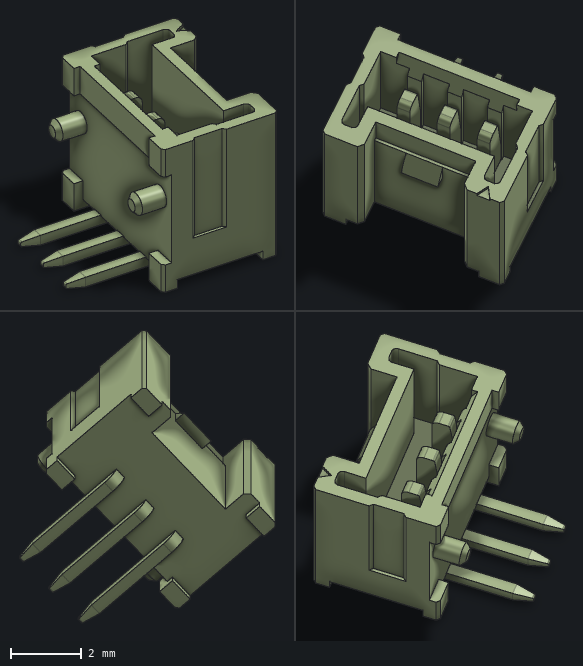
import cadquery as cq
import math


WIDTH = 5.65
HALF_WIDTH = WIDTH / 2
HEIGHT = 4.89
BACK_Y = 3.845
FRONT_WALL_Y = 0.3
BACK_WALL_Y = 2.995
WALL_SHIFT = 0.1
BAND_HEIGHT = 0.94
CORNER_CHAMFER = 0.1

ARM_GAP_HALF = 1.555
ARM_CHAMFER = 0.155

LUG_WIDTH = 0.755
UNDERSIDE_Z = 0.295
FRONT_FOOT_Y = 0.5
BACK_FOOT_DEPTH = 0.515

FLOOR_Z = 1.545
CAVITY_FRONT_Y = 0.755
CAVITY_BACK_Y = 2.535
CAVITY_HALF_FRONT = 2.36
CAVITY_HALF_BACK = 2.465
SIDE_STEP_Y = 1.905
ARM_SLOT_INNER = 1.975
ARM_SLOT_END_Y = 3.34
ARM_SLOT_RADIUS = 0.15

LEAD_HALF_WIDTH = 1.875
LEAD_TOP_Y = 0.565
SLOPE_ANGLE = 60

SIDE_RECESS_FRONT_Y = 1.015
SIDE_RECESS_BACK_Y = 2.13
SIDE_RECESS_DEPTH = 0.1

LATCH_HALF_WIDTH = 0.57
LATCH_REACH = 0.345

MARK_X = -2.22
MARK_HALF_WIDTH = 0.2
MARK_LENGTH = 0.35
MARK_DEPTH = 0.1

PEG_X = 2.195
PEG_Z = 2.88
PEG_DIAMETER = 0.7
PEG_END_Y = -0.65
PEG_CHAMFER = 0.155

PIN_COUNT = 3
PIN_PITCH = 1.25
POST_WIDTH = 0.4
POST_BACK_Y = 1.655
POST_FRONT_Y = 0.905
POST_TOP_Z = 3.97
POST_TAPER = 0.21
POST_TAPER_HEIGHT = 1.475
POST_BACK_RADIUS = 0.22
POST_FRONT_RADIUS = 0.055
BEND_BACK_Y = 1.55
BEND_RADIUS = 0.5
LEG_WIDTH = 0.35
LEG_HEIGHT = 0.34
LEG_TAPER_Y = -1.71
TIP_Y = -2.305
TIP_SIZE = 0.155
TIP_RADIUS = 0.05
RIB_WIDTH = 0.44
RIB_Y = 0.89

pin_positions = [(i - (PIN_COUNT - 1) / 2) * PIN_PITCH for i in range(PIN_COUNT)]


def box(x0, x1, y0, y1, z0, z1):
    """Axis-aligned box between two opposite corners."""
    return cq.Workplane("XY").box(x1 - x0, y1 - y0, z1 - z0, centered=False).translate((x0, y0, z0))


def side_profile(points, half_width):
    """Extrude a (Y, Z) outline symmetrically about X = 0."""
    return cq.Workplane("YZ").polyline(points).close().extrude(half_width, both=True)


def both_sides(solid):
    """The solid together with its mirror image across X = 0."""
    return solid.union(solid.mirror("YZ"))


def housing_block():
    """Outer block with chamfered corners, open rear gap, lugs and feet."""
    block = box(-HALF_WIDTH, HALF_WIDTH, 0, BACK_Y, 0, HEIGHT).edges("|Z").chamfer(CORNER_CHAMFER)

    gap = (
        cq.Workplane("XY")
        .moveTo(-ARM_GAP_HALF, BACK_WALL_Y)
        .lineTo(-ARM_GAP_HALF, BACK_Y - ARM_CHAMFER)
        .lineTo(-ARM_GAP_HALF - ARM_CHAMFER, BACK_Y)
        .lineTo(ARM_GAP_HALF + ARM_CHAMFER, BACK_Y)
        .lineTo(ARM_GAP_HALF, BACK_Y - ARM_CHAMFER)
        .lineTo(ARM_GAP_HALF, BACK_WALL_Y)
        .close()
        .extrude(HEIGHT)
    )
    band_z = HEIGHT - BAND_HEIGHT
    ledge = box(-ARM_GAP_HALF, ARM_GAP_HALF, BACK_WALL_Y - WALL_SHIFT, BACK_WALL_Y, band_z, HEIGHT)

    lug_inner = HALF_WIDTH - LUG_WIDTH
    between_lugs = box(-lug_inner, lug_inner, 0, FRONT_WALL_Y - WALL_SHIFT, 0, HEIGHT)
    below_band = box(-lug_inner, lug_inner, 0, FRONT_WALL_Y, 0, band_z)
    above_feet = box(-HALF_WIDTH, HALF_WIDTH, 0, FRONT_WALL_Y, BAND_HEIGHT, band_z)

    between_feet = box(-lug_inner, lug_inner, 0, BACK_Y, 0, UNDERSIDE_Z)
    under_sides = box(-HALF_WIDTH, HALF_WIDTH, FRONT_FOOT_Y, BACK_Y - BACK_FOOT_DEPTH, 0, UNDERSIDE_Z)

    for cut in (gap, ledge, between_lugs, below_band, above_feet, between_feet, under_sides):
        block = block.cut(cut)
    return block


def cavity():
    """Plug cavity with two rear slots reaching into the arms."""
    depth = HEIGHT - FLOOR_Z
    half = (
        cq.Workplane("XY", origin=(0, 0, FLOOR_Z))
        .moveTo(0, CAVITY_FRONT_Y)
        .lineTo(CAVITY_HALF_FRONT, CAVITY_FRONT_Y)
        .lineTo(CAVITY_HALF_FRONT, SIDE_STEP_Y)
        .lineTo(CAVITY_HALF_BACK, SIDE_STEP_Y + CAVITY_HALF_BACK - CAVITY_HALF_FRONT)
        .lineTo(CAVITY_HALF_BACK, ARM_SLOT_END_Y)
        .lineTo(ARM_SLOT_INNER, ARM_SLOT_END_Y)
        .lineTo(ARM_SLOT_INNER, CAVITY_BACK_Y)
        .lineTo(0, CAVITY_BACK_Y)
        .close()
        .extrude(depth)
        .edges("|Z and >Y")
        .fillet(ARM_SLOT_RADIUS)
    )
    return both_sides(half)


def pin_ribs():
    """Ribs on the front cavity wall, one in front of each contact."""
    ribs = cq.Workplane("XY")
    for x in pin_positions:
        ribs = ribs.union(box(x - RIB_WIDTH / 2, x + RIB_WIDTH / 2, CAVITY_FRONT_Y, RIB_Y, FLOOR_Z, HEIGHT))
    return ribs


def lead_in():
    """Sloped cut along the top of the front wall and its ribs."""
    drop = (RIB_Y - LEAD_TOP_Y) * math.tan(math.radians(SLOPE_ANGLE))
    outline = [(LEAD_TOP_Y, HEIGHT), (RIB_Y, HEIGHT), (RIB_Y, HEIGHT - drop)]
    return side_profile(outline, LEAD_HALF_WIDTH)


def side_recesses():
    """Shallow recesses in the outer sides, open at the top."""
    outer_face = HALF_WIDTH
    inner_face = HALF_WIDTH - SIDE_RECESS_DEPTH
    outline = [
        (outer_face, SIDE_RECESS_FRONT_Y),
        (inner_face, SIDE_RECESS_FRONT_Y + SIDE_RECESS_DEPTH),
        (inner_face, SIDE_RECESS_BACK_Y - SIDE_RECESS_DEPTH),
        (outer_face, SIDE_RECESS_BACK_Y),
    ]
    recess = cq.Workplane("XY", origin=(0, 0, FLOOR_Z)).polyline(outline).close().extrude(HEIGHT - FLOOR_Z)
    return both_sides(recess)


def latch_wedge():
    """Wedge on the rear wall, sloping down and outward from the wall ledge."""
    top_z = HEIGHT - BAND_HEIGHT
    drop = LATCH_REACH * math.tan(math.radians(SLOPE_ANGLE))
    outline = [(BACK_WALL_Y, top_z), (BACK_WALL_Y + LATCH_REACH, top_z - drop), (BACK_WALL_Y, top_z - drop)]
    return side_profile(outline, LATCH_HALF_WIDTH)


def first_pin_mark():
    """Triangular recess in the top of the left arm."""
    outline = [
        (MARK_X - MARK_HALF_WIDTH, BACK_Y),
        (MARK_X, BACK_Y - MARK_LENGTH),
        (MARK_X + MARK_HALF_WIDTH, BACK_Y),
    ]
    return cq.Workplane("XY", origin=(0, 0, HEIGHT - MARK_DEPTH)).polyline(outline).close().extrude(MARK_DEPTH)


def pegs():
    """Pair of chamfered pegs on the front wall."""
    peg = (
        cq.Workplane("XZ", origin=(PEG_X, FRONT_WALL_Y, PEG_Z))
        .circle(PEG_DIAMETER / 2)
        .extrude(FRONT_WALL_Y - PEG_END_Y)
        .faces("<Y")
        .chamfer(PEG_CHAMFER)
    )
    return both_sides(peg)


def contact():
    """One contact at X = 0: a post in the cavity, a bend and a pointed solder leg."""
    post_outline = [
        (POST_FRONT_Y, FLOOR_Z),
        (POST_FRONT_Y, POST_TOP_Z - POST_TAPER_HEIGHT),
        (POST_FRONT_Y + POST_TAPER, POST_TOP_Z),
        (POST_BACK_Y, POST_TOP_Z),
        (POST_BACK_Y, FLOOR_Z),
    ]
    post = side_profile(post_outline, POST_WIDTH / 2)
    post = post.faces(">Z").edges(">Y").fillet(POST_BACK_RADIUS)
    post = post.faces(">Z").edges("<Y").fillet(POST_FRONT_RADIUS)

    bend_and_leg = (
        cq.Workplane("YZ")
        .moveTo(POST_FRONT_Y, FLOOR_Z)
        .lineTo(BEND_BACK_Y, FLOOR_Z)
        .lineTo(BEND_BACK_Y, BEND_RADIUS)
        .tangentArcPoint((BEND_BACK_Y - BEND_RADIUS, 0), relative=False)
        .lineTo(LEG_TAPER_Y, 0)
        .lineTo(LEG_TAPER_Y, LEG_HEIGHT)
        .lineTo(POST_FRONT_Y, LEG_HEIGHT)
        .close()
        .extrude(LEG_WIDTH / 2, both=True)
    )

    tip = (
        cq.Workplane("XZ", origin=(0, LEG_TAPER_Y, LEG_HEIGHT / 2))
        .rect(LEG_WIDTH, LEG_HEIGHT)
        .workplane(offset=LEG_TAPER_Y - TIP_Y)
        .rect(TIP_SIZE, TIP_SIZE)
        .loft()
        .faces("<Y")
        .edges("|X")
        .fillet(TIP_RADIUS)
    )
    return post.union(bend_and_leg).union(tip)


housing = housing_block().cut(cavity()).union(pin_ribs()).cut(lead_in()).cut(side_recesses())
housing = housing.union(latch_wedge()).cut(first_pin_mark()).union(pegs())

result = housing
for pin_x in pin_positions:
    result = result.union(contact().translate((pin_x, 0, 0)))